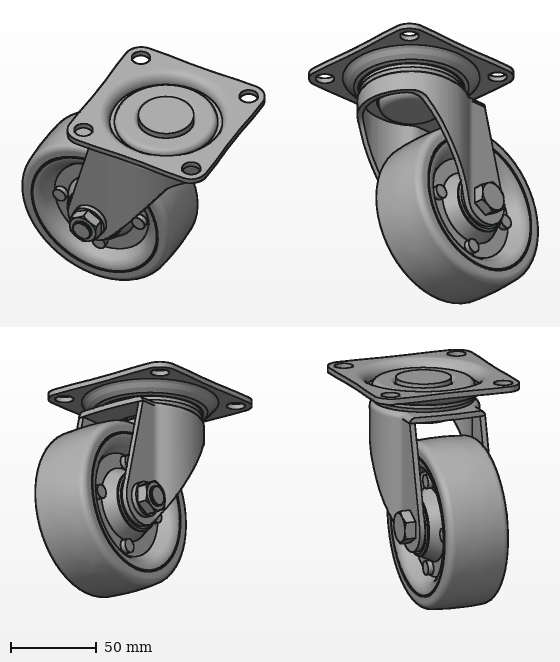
import cadquery as cq
import math


tyre_radius = 50.0
swivel_offset = 37.0
plate_top = 80.0
axle_radius = 6.0

plate_side = 90.0
plate_thickness = 3.3
plate_corner_radius = 10.0
plate_waist_half = 22.7
plate_waist_depth = 0.7
plate_hole_half_pitch = 35.5
plate_hole_radius = 5.4
dish_rim_radius = 39.9
dish_round = 7.1
dish_floor_thickness = 3.3
dish_bottom_radius = 31.0
dish_shoulder_radius = 38.3
dish_shoulder_depth = 4.6
dish_middle_radius = 36.3
dish_middle_depth = 7.3
dish_lower_radius = 33.5
dish_lower_depth = 9.5

head_radius = 30.1
head_top = plate_top - 3.0
head_round = 3.8
pin_radius = 16.1
pin_top = plate_top - 1.6
neck_radius = 29.3
neck_top = 67.3
bowl_flange_radius = 20.0
bowl_flange_bottom = 60.6
bowl_radius = 19.0
bowl_round = 4.9
bowl_bottom = 54.4

fork_top = 65.1
sheet = 3.3
leg_half_width = 23.8
skirt_radius = 31.4
skirt_bottom = 51.6
skirt_corner_radius = 10.0
leg_end_radius = 15.0
front_edge_angle = 14.4
rear_edge_angle = 34.7
front_edge_x = 0.3
front_bulge = 1.6
sway_start = -26.7
sway_end = -3.2
sway_bend_length = 4.5
fork_top_round = 3.5

wheel_half_width = 19.0
tyre_bore_radius = 41.7
tyre_face_radius = 45.1
tread_half_width = 15.2
tread_edge_radius = 49.4
rim_lip = 0.9
rim_dish_corner_radius = 33.8
rim_dish_corner_y = 14.8
web_outer_radius = 30.9
web_half_thickness = 10.5
hub_foot_radius = 21.9
hub_radius = 17.7
hub_flange_y = 18.9
hub_chamfer = 1.3
rivet_radius = 4.1
rivet_circle_radius = 26.0
rivet_half_length = 14.0
rivet_count = 4

hex_sides = 6
hex_flats = 17.0
head_height = 6.7
washer_radius = 10.3
washer_thickness = 3.2
nut_height = 6.7
tip_length = 1.6
tip_chamfer = 0.4
hex_chamfer_slope = math.radians(30)

diagonal = math.sin(math.radians(45))


def revolve_about_swivel(profile):
    """Turn an (r, z) profile into a body of revolution about the swivel axis."""
    return profile.revolve(360, (0, 0, 0), (0, 1, 0)).translate((swivel_offset, 0, 0))


def revolve_about_axle(profile):
    """Turn an (r, y) profile into a body of revolution about the wheel axis."""
    return profile.revolve(360, (0, 0, 0), (0, 1, 0))


def axle_cylinder(radius, y_start, y_end):
    return cq.Workplane("XZ", origin=(0, y_start, 0)).circle(radius).extrude(y_start - y_end)


def make_plate():
    plate = (
        cq.Workplane("XY", origin=(swivel_offset, 0, plate_top - plate_thickness))
        .rect(plate_side, plate_side)
        .extrude(plate_thickness)
        .edges("|Z")
        .fillet(plate_corner_radius)
    )
    half = plate_side / 2
    waist = (
        cq.Workplane("XY", origin=(0, 0, plate_top - plate_thickness))
        .moveTo(half, -plate_waist_half)
        .threePointArc((half - plate_waist_depth, 0), (half, plate_waist_half))
        .close()
        .extrude(plate_thickness)
    )
    for side in range(4):
        cutter = waist.rotate((0, 0, 0), (0, 0, 1), 90 * side).translate((swivel_offset, 0, 0))
        plate = plate.cut(cutter)

    floor_top = plate_top - dish_round
    dish_bottom = floor_top - dish_floor_thickness
    dish_outside = revolve_about_swivel(
        cq.Workplane("XZ")
        .moveTo(0, plate_top)
        .lineTo(dish_rim_radius, plate_top)
        .lineTo(dish_rim_radius, plate_top - plate_thickness)
        .lineTo(dish_shoulder_radius, plate_top - dish_shoulder_depth)
        .lineTo(dish_middle_radius, plate_top - dish_middle_depth)
        .lineTo(dish_lower_radius, plate_top - dish_lower_depth)
        .lineTo(dish_bottom_radius, dish_bottom)
        .lineTo(0, dish_bottom)
        .close()
    )
    wall_foot = dish_rim_radius - dish_round
    arc_middle = dish_round * diagonal
    dish_inside = revolve_about_swivel(
        cq.Workplane("XZ")
        .moveTo(0, plate_top)
        .lineTo(dish_rim_radius, plate_top)
        .threePointArc(
            (dish_rim_radius - arc_middle, floor_top + arc_middle), (wall_foot, floor_top)
        )
        .lineTo(head_radius, floor_top)
        .lineTo(head_radius, dish_bottom)
        .lineTo(0, dish_bottom)
        .close()
    )
    holes = (
        cq.Workplane("XY", origin=(swivel_offset, 0, plate_top))
        .rect(2 * plate_hole_half_pitch, 2 * plate_hole_half_pitch, forConstruction=True)
        .vertices()
        .circle(plate_hole_radius)
        .extrude(-plate_thickness)
    )
    return plate.union(dish_outside).cut(dish_inside).cut(holes)


def fork_plan(inset, front_x, bulge):
    """Fork outline from above, offset inwards by inset and open to front_x."""
    run = sway_end - sway_start
    rise = skirt_radius - leg_half_width
    angle = 2 * math.atan2(rise, run)
    hollow_radius = sway_bend_length / math.sin(angle)
    round_radius = run / math.sin(angle) - hollow_radius

    hollow = hollow_radius + inset
    hollow_centre = (sway_start, leg_half_width + hollow_radius)
    rounded = round_radius - inset
    round_centre = (sway_end, skirt_radius - round_radius)
    leg_y = leg_half_width - inset
    skirt = skirt_radius - inset

    def hollow_point(a, side):
        x = hollow_centre[0] + hollow * math.sin(a)
        return (x, side * (hollow_centre[1] - hollow * math.cos(a)))

    def round_point(a, side):
        x = round_centre[0] - rounded * math.sin(a)
        return (x, side * (round_centre[1] + rounded * math.cos(a)))

    front = front_x - swivel_offset
    return (
        cq.Workplane("XY", origin=(swivel_offset, 0, 0))
        .moveTo(front, -leg_y)
        .lineTo(sway_start, -leg_y)
        .threePointArc(hollow_point(angle / 2, -1), hollow_point(angle, -1))
        .threePointArc(round_point(angle / 2, -1), round_point(0, -1))
        .lineTo(0, -skirt)
        .threePointArc((skirt, 0), (0, skirt))
        .lineTo(sway_end, skirt)
        .threePointArc(round_point(angle / 2, 1), round_point(angle, 1))
        .threePointArc(hollow_point(angle / 2, 1), hollow_point(0, 1))
        .lineTo(front, leg_y)
        .threePointArc((front - bulge, 0), (front, -leg_y))
        .close()
    )


def fork_side_profile():
    """Side outline of the fork, as a block across its full width."""
    front = math.radians(front_edge_angle)
    rear = math.radians(rear_edge_angle)
    front_tangent = (-leg_end_radius * math.cos(front), leg_end_radius * math.sin(front))
    rear_tangent = (leg_end_radius * math.cos(rear), -leg_end_radius * math.sin(rear))
    sheet_bottom = fork_top - sheet
    front_top_x = front_tangent[0] + (sheet_bottom - front_tangent[1]) * math.tan(front)
    rear_corner_x = rear_tangent[0] + (skirt_bottom - rear_tangent[1]) * math.tan(rear)
    bulge_x = front_edge_x - front_bulge
    back_x = swivel_offset + skirt_radius
    return (
        cq.Workplane("XZ")
        .moveTo(*front_tangent)
        .lineTo(front_top_x, sheet_bottom)
        .lineTo(bulge_x, sheet_bottom)
        .lineTo(bulge_x, fork_top)
        .lineTo(back_x, fork_top)
        .lineTo(back_x, skirt_bottom)
        .lineTo(rear_corner_x, skirt_bottom)
        .lineTo(*rear_tangent)
        .threePointArc((0, -leg_end_radius), front_tangent)
        .close()
        .extrude(skirt_radius, both=True)
        .edges(cq.NearestToPointSelector((rear_corner_x, 0, skirt_bottom)))
        .fillet(skirt_corner_radius)
    )


def make_swivel_head():
    head_inset = head_round * (1 - diagonal)
    bowl_inset = bowl_round * (1 - diagonal)
    shoulder = head_top - head_round
    groove_radius = pin_radius + head_round
    return revolve_about_swivel(
        cq.Workplane("XZ")
        .moveTo(0, pin_top)
        .lineTo(pin_radius, pin_top)
        .lineTo(pin_radius, shoulder)
        .threePointArc((pin_radius + head_inset, head_top - head_inset), (groove_radius, head_top))
        .lineTo(head_radius - head_round, head_top)
        .threePointArc((head_radius - head_inset, head_top - head_inset), (head_radius, shoulder))
        .lineTo(head_radius, neck_top)
        .lineTo(neck_radius, fork_top)
        .lineTo(bowl_flange_radius, fork_top)
        .lineTo(bowl_flange_radius, bowl_flange_bottom)
        .lineTo(bowl_radius, bowl_flange_bottom)
        .lineTo(bowl_radius, bowl_bottom + bowl_round)
        .threePointArc(
            (bowl_radius - bowl_inset, bowl_bottom + bowl_inset),
            (bowl_radius - bowl_round, bowl_bottom),
        )
        .lineTo(0, bowl_bottom)
        .close()
    )


def make_fork():
    height = fork_top + leg_end_radius
    outside = fork_plan(0, front_edge_x, front_bulge).extrude(height)
    outside = outside.translate((0, 0, -leg_end_radius))
    top_edges = outside.faces(">Z").edges()
    rounded_edges = [edge for edge in top_edges.vals() if edge.Center().x > front_edge_x]
    outside = outside.newObject(rounded_edges).fillet(fork_top_round)
    opening_x = -2 * leg_end_radius
    inside = fork_plan(sheet, opening_x, front_bulge).extrude(height - sheet)
    inside = inside.translate((0, 0, -leg_end_radius))
    leg_tips = (
        cq.Workplane("XY", origin=(0, 0, -leg_end_radius))
        .rect(2 * leg_end_radius, 2 * leg_half_width)
        .extrude(height - sheet)
    )
    body = outside.union(leg_tips).cut(inside).intersect(fork_side_profile())
    bore = axle_cylinder(axle_radius, -leg_half_width, leg_half_width)
    return body.union(make_swivel_head()).cut(bore)


def make_tyre():
    edge_r = tyre_face_radius + diagonal * (tread_edge_radius - tyre_face_radius)
    edge_y = tread_half_width + diagonal * (wheel_half_width - tread_half_width)
    return revolve_about_axle(
        cq.Workplane("XY")
        .moveTo(tyre_bore_radius, -wheel_half_width)
        .lineTo(tyre_face_radius, -wheel_half_width)
        .threePointArc((edge_r, -edge_y), (tread_edge_radius, -tread_half_width))
        .threePointArc((tyre_radius, 0), (tread_edge_radius, tread_half_width))
        .threePointArc((edge_r, edge_y), (tyre_face_radius, wheel_half_width))
        .lineTo(tyre_bore_radius, wheel_half_width)
        .close()
    )


def make_rim():
    lip_radius = tyre_bore_radius - rim_lip
    hub_half_length = leg_half_width - sheet
    dish_run = lip_radius - rim_dish_corner_radius
    dish_angle = 2 * math.atan2(wheel_half_width - rim_dish_corner_y, dish_run)
    dish_radius = dish_run / math.sin(dish_angle)
    dish_middle = (
        lip_radius - dish_radius * math.sin(dish_angle / 2),
        wheel_half_width - dish_radius * (1 - math.cos(dish_angle / 2)),
    )
    half = revolve_about_axle(
        cq.Workplane("XY")
        .moveTo(axle_radius, 0)
        .lineTo(tyre_bore_radius, 0)
        .lineTo(tyre_bore_radius, wheel_half_width - rim_lip)
        .lineTo(lip_radius, wheel_half_width)
        .threePointArc(dish_middle, (rim_dish_corner_radius, rim_dish_corner_y))
        .lineTo(web_outer_radius, web_half_thickness)
        .lineTo(hub_foot_radius, web_half_thickness)
        .lineTo(hub_radius, hub_flange_y)
        .lineTo(hub_radius, hub_half_length - hub_chamfer / 2)
        .lineTo(hub_radius - hub_chamfer, hub_half_length)
        .lineTo(axle_radius, hub_half_length)
        .close()
    )
    rim = half.union(half.mirror("XZ"))
    for i in range(rivet_count):
        rivet = (
            axle_cylinder(rivet_radius, -rivet_half_length, rivet_half_length)
            .translate((rivet_circle_radius, 0, 0))
            .rotate((0, 0, 0), (0, 1, 0), i * 360 / rivet_count)
        )
        rim = rim.union(rivet)
    return rim


def hexagon(inner_y, outer_y):
    """Hexagon across the axle, corners up and down, its outer face chamfered."""
    corner_radius = hex_flats / math.sqrt(3)
    chamfer = (corner_radius - hex_flats / 2) * math.tan(hex_chamfer_slope)
    chamfer_y = outer_y - math.copysign(chamfer, outer_y)
    prism = (
        cq.Workplane("XZ", origin=(0, inner_y, 0))
        .polygon(hex_sides, 2 * corner_radius)
        .extrude(inner_y - outer_y)
        .rotate((0, 0, 0), (0, 1, 0), 180 / hex_sides)
    )
    envelope = revolve_about_axle(
        cq.Workplane("XY")
        .moveTo(0, inner_y)
        .lineTo(corner_radius, inner_y)
        .lineTo(corner_radius, chamfer_y)
        .lineTo(hex_flats / 2, outer_y)
        .lineTo(0, outer_y)
        .close()
    )
    return prism.intersect(envelope)


def make_axle():
    washer_y = -leg_half_width - washer_thickness
    nut_y = washer_y - nut_height
    tip_y = nut_y - tip_length
    shank = axle_cylinder(axle_radius, tip_y, leg_half_width).faces("<Y").chamfer(tip_chamfer)
    washer = axle_cylinder(washer_radius, -leg_half_width, washer_y)
    head = hexagon(leg_half_width, leg_half_width + head_height)
    return shank.union(washer).union(head).union(hexagon(washer_y, nut_y))


plate = make_plate()
fork = make_fork()
tyre = make_tyre()
rim = make_rim()
axle = make_axle()

result = cq.Compound.makeCompound([plate.val(), fork.val(), tyre.val(), rim.val(), axle.val()])